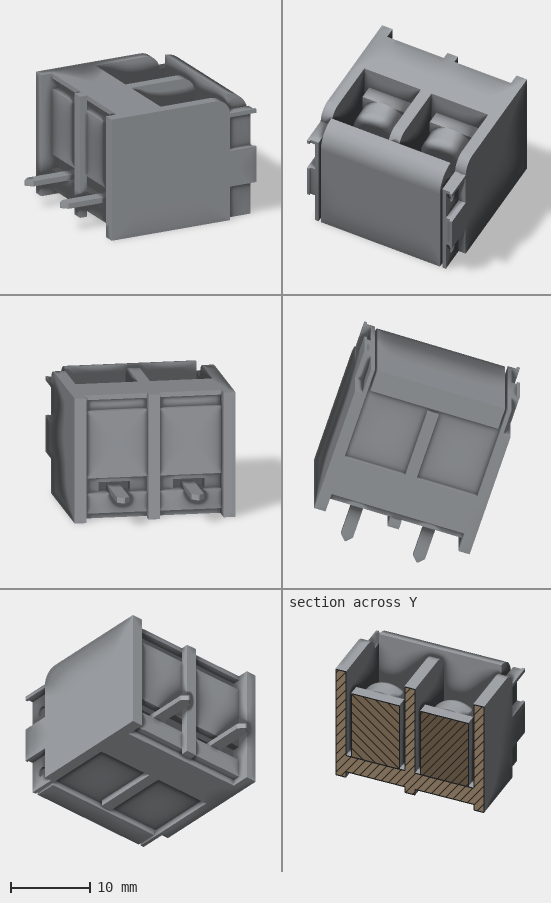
import cadquery as cq
import math

WIDTH = 20.6
DEPTH = 20.6
HEIGHT = 16.2
PIN_REACH = 25.05 - DEPTH

WALL = 1.5
HALF_WIDTH = WIDTH / 2
WELL_HALF_SPAN = HALF_WIDTH - WALL
WELL_WIDTH = WELL_HALF_SPAN - WALL / 2
POLE_X = (WELL_WIDTH + WALL) / 2
RIB_FRONT_Y = 0.5
WALL_BACK_Y = 16.83
LEDGE_Z = 14.27
CORNER_RADIUS = HEIGHT - LEDGE_Z

SKIN_THICKNESS = 0.38
RECESS_DEPTH = 1.0
RECESS_HEIGHT = 4.48
LEDGE_THICKNESS = 0.53
UPPER_RECESS_TOP_Z = LEDGE_Z - LEDGE_THICKNESS
BACK_SETBACK = 0.28
INNER_BACK_Y = DEPTH - BACK_SETBACK
HOLE_DIAMETER = 1.3
HOLE_DEPTH = 0.38

BAND_FRONT_Y = 1.5
BLOCK_FRONT_Y = 2.5
WELL_FRONT_Y = 7.75
TOP_BAND_Z = 15.57
MIDDLE_BAND_BOTTOM_Z = 5.4
MIDDLE_BAND_TOP_Z = 14.1
LOWER_BAND_BOTTOM_Z = 0.85

LID_FRONT_Y = 17.43
LID_HALF_WIDTH = 8.46
LID_RADIUS = INNER_BACK_Y - LID_FRONT_Y

PIN_BOTTOM_Z = 3.4
PIN_WIDTH = 1.6
PIN_THICKNESS = 0.7
PIN_TIP_LENGTH = 0.75
PIN_TIP_WIDTH = 0.2
SLOT_WIDTH = 4.03
SLOT_HEIGHT = 1.23
SLOT_DEPTH = 1.5
FLOOR_Z = PIN_BOTTOM_Z
PLATE_WIDTH = 6.65
PLATE_THICKNESS = 1.85
SCREW_Z = (MIDDLE_BAND_BOTTOM_Z + MIDDLE_BAND_TOP_Z) / 2
HEAD_DIAMETER = 7.0
HEAD_FLAT_DIAMETER = 4.8
HEAD_HEIGHT = 3.0
HEAD_FILLET = 1.0


def box(x0, x1, y0, y1, z0, z1):
    """Axis-aligned block between two opposite corners."""
    return cq.Workplane("XY").box(x1 - x0, y1 - y0, z1 - z0, centered=False).translate((x0, y0, z0))


def upright_wall(x0, front_y):
    """Full-height wall whose upper back corner is rounded."""
    wall = box(x0, x0 + WALL, front_y, WALL_BACK_Y, 0, HEIGHT)
    return wall.edges("|X and >Y and >Z").fillet(CORNER_RADIUS)


def side_wall():
    """Left side wall with its low back stretch and the two side recesses."""
    outer_x = -HALF_WIDTH
    wall = upright_wall(outer_x, 0)
    wall = wall.union(box(outer_x, outer_x + WALL, WALL_BACK_Y, INNER_BACK_Y, 0, LEDGE_Z))
    wall = wall.union(box(outer_x, outer_x + SKIN_THICKNESS, WALL_BACK_Y, DEPTH, 0, LEDGE_Z))
    for top_z in (RECESS_HEIGHT, UPPER_RECESS_TOP_Z):
        wall = wall.cut(
            box(outer_x, outer_x + RECESS_DEPTH, WALL_BACK_Y, DEPTH, top_z - RECESS_HEIGHT, top_z)
        )
    return wall


def recess_holes():
    """Blind round holes in the middle of the two left recesses."""
    hole_y = (WALL_BACK_Y + INNER_BACK_Y) / 2
    hole_zs = [RECESS_HEIGHT / 2, UPPER_RECESS_TOP_Z - RECESS_HEIGHT / 2]
    return (
        cq.Workplane("YZ", origin=(RECESS_DEPTH - HALF_WIDTH, 0, 0))
        .pushPoints([(hole_y, z) for z in hole_zs])
        .circle(HOLE_DIAMETER / 2)
        .extrude(HOLE_DEPTH)
    )


def lid():
    """Back wall with a quarter-round upper back edge."""
    return (
        cq.Workplane("YZ", origin=(-LID_HALF_WIDTH, 0, 0))
        .moveTo(LID_FRONT_Y, 0)
        .lineTo(INNER_BACK_Y, 0)
        .lineTo(INNER_BACK_Y, HEIGHT - LID_RADIUS)
        .radiusArc((LID_FRONT_Y, HEIGHT), -LID_RADIUS)
        .close()
        .extrude(2 * LID_HALF_WIDTH)
    )


def front_block():
    """Solid block in front of the wells with three bands across its face."""
    block = box(-WELL_HALF_SPAN, WELL_HALF_SPAN, BLOCK_FRONT_Y, WELL_FRONT_Y, 0, HEIGHT)
    band_z_ranges = [
        (LOWER_BAND_BOTTOM_Z, PIN_BOTTOM_Z),
        (MIDDLE_BAND_BOTTOM_Z, MIDDLE_BAND_TOP_Z),
        (TOP_BAND_Z, HEIGHT),
    ]
    for z0, z1 in band_z_ranges:
        block = block.union(box(-WELL_HALF_SPAN, WELL_HALF_SPAN, BAND_FRONT_Y, BLOCK_FRONT_Y, z0, z1))
    return block


def well_floor():
    """Floor of both wells, joining the front block to the lid."""
    return box(-WELL_HALF_SPAN, WELL_HALF_SPAN, WELL_FRONT_Y, LID_FRONT_Y, LOWER_BAND_BOTTOM_Z, FLOOR_Z)


def pin_slot(pole_x):
    """Recess around the pin in the front block."""
    return box(
        pole_x - SLOT_WIDTH / 2, pole_x + SLOT_WIDTH / 2,
        BLOCK_FRONT_Y, BLOCK_FRONT_Y + SLOT_DEPTH,
        PIN_BOTTOM_Z, PIN_BOTTOM_Z + SLOT_HEIGHT,
    )


def make_pin(pole_x):
    """Flat pin with a tapered tip, running forward from the terminal plate."""
    tip_y = -PIN_REACH
    shoulder_y = tip_y + PIN_TIP_LENGTH
    return (
        cq.Workplane("XY", origin=(pole_x, 0, PIN_BOTTOM_Z))
        .moveTo(-PIN_WIDTH / 2, WELL_FRONT_Y)
        .lineTo(-PIN_WIDTH / 2, shoulder_y)
        .lineTo(-PIN_TIP_WIDTH / 2, tip_y)
        .lineTo(PIN_TIP_WIDTH / 2, tip_y)
        .lineTo(PIN_WIDTH / 2, shoulder_y)
        .lineTo(PIN_WIDTH / 2, WELL_FRONT_Y)
        .close()
        .extrude(PIN_THICKNESS)
    )


def make_screw_head(pole_x, seat_y):
    """Slightly tapered round head with a filleted rim, pointing to the back."""
    end_radius = HEAD_FLAT_DIAMETER / 2 + HEAD_FILLET
    taper = math.degrees(math.atan((HEAD_DIAMETER / 2 - end_radius) / HEAD_HEIGHT))
    return (
        cq.Workplane("XZ", origin=(pole_x, seat_y, SCREW_Z))
        .circle(HEAD_DIAMETER / 2)
        .extrude(-HEAD_HEIGHT, taper=taper)
        .faces(">Y")
        .edges()
        .fillet(HEAD_FILLET)
    )


def make_terminal(pole_x):
    """Terminal of one pole: plate on the well's front wall, screw head and pin."""
    seat_y = WELL_FRONT_Y + PLATE_THICKNESS
    plate = box(
        pole_x - PLATE_WIDTH / 2, pole_x + PLATE_WIDTH / 2,
        WELL_FRONT_Y, seat_y,
        FLOOR_Z, SCREW_Z + PLATE_WIDTH / 2,
    )
    return plate.union(make_screw_head(pole_x, seat_y)).union(make_pin(pole_x))


def make_housing(pole_xs):
    """Housing with two open wells, separated by the middle rib."""
    left_wall = side_wall()
    front_rib = box(-WALL / 2, WALL / 2, RIB_FRONT_Y, BAND_FRONT_Y, 0, HEIGHT)
    housing = front_block().union(left_wall).union(left_wall.mirror("YZ"))
    housing = housing.union(upright_wall(-WALL / 2, BLOCK_FRONT_Y)).union(front_rib)
    housing = housing.union(well_floor())
    housing = housing.union(lid()).cut(recess_holes())
    for x in pole_xs:
        housing = housing.cut(pin_slot(x)).cut(make_pin(x))
    return housing


pole_xs = [-POLE_X, POLE_X]
housing = make_housing(pole_xs)
terminals = [make_terminal(x) for x in pole_xs]

result = cq.Compound.makeCompound([housing.val(), *[terminal.val() for terminal in terminals]])